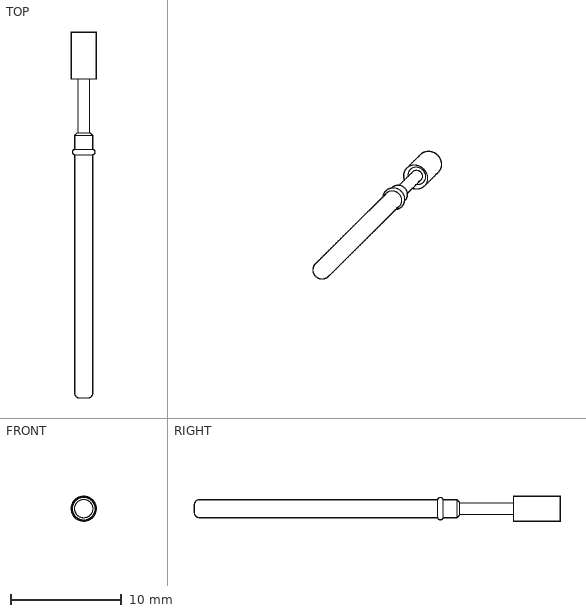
import cadquery as cq

total_length = 33.1
y_front = -total_length / 2
y_back = total_length / 2

head_diameter = 2.3
head_radius = head_diameter / 2
head_length = 4.25
y_head = y_back - head_length

stem_radius = 0.53
stem_length = 4.85
y_stem = y_head - stem_length

recess_depth = 0.4
recess_floor_radius = 0.83
y_recess_floor = y_head + recess_depth

barrel_radius = 0.83
shoulder_width = 0.23
shoulder_length = 0.23
tip_radius = 0.45

ring_radius = 1.03
ring_width = 0.5
ring_setback = 1.5
y_ring_back = y_stem - ring_setback
y_ring_middle = y_ring_back - ring_width / 2
y_ring_front = y_ring_back - ring_width


def turned(profile):
    """Revolve a half profile, drawn as (radius, y), around the Y axis."""
    return profile.close().revolve(360, (0, 0), (0, 1))


def barrel():
    return turned(
        cq.Workplane("XY")
        .moveTo(0, y_front)
        .lineTo(barrel_radius - tip_radius, y_front)
        .radiusArc((barrel_radius, y_front + tip_radius), -tip_radius)
        .lineTo(barrel_radius, y_ring_front)
        .threePointArc((ring_radius, y_ring_middle), (barrel_radius, y_ring_back))
        .lineTo(barrel_radius, y_stem - shoulder_length)
        .lineTo(barrel_radius - shoulder_width, y_stem)
        .lineTo(0, y_stem)
    )


def plunger():
    return turned(
        cq.Workplane("XY")
        .moveTo(0, y_stem)
        .lineTo(stem_radius, y_stem)
        .lineTo(stem_radius, y_recess_floor)
        .lineTo(recess_floor_radius, y_recess_floor)
        .lineTo(head_radius, y_head)
        .lineTo(head_radius, y_back)
        .lineTo(0, y_back)
    )


result = barrel().union(plunger())